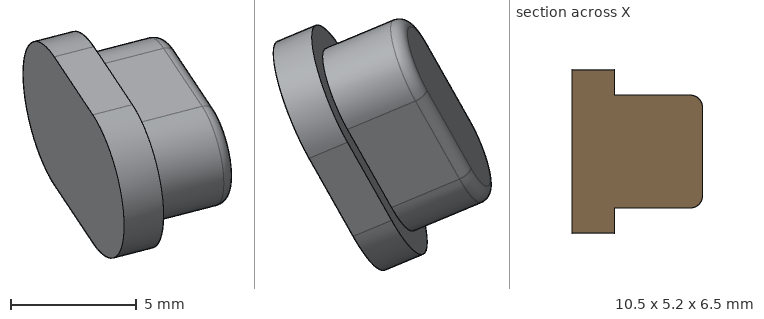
import cadquery as cq

straight_length = 4.0
plug_height = 4.5
flange_overhang = 1.0
flange_thickness = 1.7
total_depth = 5.2
tip_radius = 0.5

flange_height = plug_height + 2 * flange_overhang
plug_depth = total_depth - flange_thickness


def obround(height, depth, start_y):
    """Solid with a round-ended outline in XZ, running from start_y toward +Y."""
    return (
        cq.Workplane("XZ", origin=(0, start_y, 0))
        .slot2D(straight_length + height, height)
        .extrude(-depth)
    )


flange = obround(flange_height, flange_thickness, 0)

plug = obround(plug_height, plug_depth, flange_thickness)
plug = plug.faces(">Y").edges().fillet(tip_radius)

result = flange.union(plug)